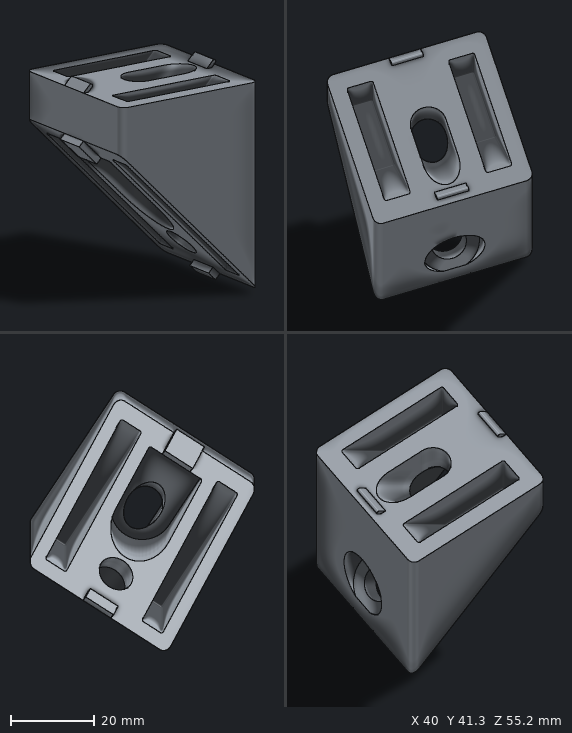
import cadquery as cq
import math


side = 40.0
front_height = 12.0
corner_radius = 2.0
back_height = front_height + side

tab_width = 7.95
finger_height = 1.95
finger_radius = 0.5
finger_root_front = (-3.85, -side)
slope_tab_height = 1.8
upper_tab_length = 7.3
lower_tab_length = 2.85

bolt_diameter = 8.7
bolt_radius = bolt_diameter / 2
recess_radius = 7.55
top_bolt_y = -21.0
top_plate = 10.0
top_recess_y = -20.05
top_recess_front = -34.9
top_recess_corner = 0.5
slope_bolt_y = -8.5
slope_plate = 5.0

pocket_fillet = 0.5
top_pocket_width = 6.5
top_pocket_x = 23.0
top_pocket_length = 30.3
top_pocket_depth = 12.55
top_pocket_backs = ((-0.55, -4.8), (0.55, -5.3))
slope_pocket_width = 5.85
slope_pocket_x = 25.0
slope_pocket_ceiling = -15.5
slope_pocket_back = -3.1

overshoot = 2.75
past_block = 2 * side
diagonal = math.sqrt(0.5)


def slope_z(y):
    """Height of the sloping face at depth y."""
    return -back_height - y


def side_prism(points, width, x_center=0.0):
    """Extrude a closed (Y, Z) outline symmetrically about x_center."""
    outline = cq.Workplane("YZ", origin=(x_center, 0, 0)).polyline(points).close()
    return outline.extrude(width / 2, both=True)


def slope_plane(y):
    """Plane on the sloping face at depth y, its normal pointing into the block."""
    return cq.Plane(origin=(0, y, slope_z(y)), xDir=(1, 0, 0), normal=(0, 1, 1))


def make_block():
    prism = side_prism([(0, 0), (-side, 0), (-side, -front_height), (0, -back_height)], side)
    return prism.edges("|Z").fillet(corner_radius)


def make_finger(root_front):
    """Tab on the top face leaning back at 45 degrees, with a fully rounded tip."""
    tip_z = finger_height - finger_radius
    tip_y = root_front + tip_z + finger_radius / diagonal
    offset = finger_radius * diagonal
    root_back = root_front + 2 * finger_radius / diagonal
    return (
        cq.Workplane("YZ")
        .moveTo(root_front, 0)
        .lineTo(tip_y - offset, tip_z + offset)
        .threePointArc((tip_y + offset, tip_z + offset), (tip_y + offset, tip_z - offset))
        .lineTo(root_back, 0)
        .close()
        .extrude(tab_width / 2, both=True)
    )


def make_slope_tab(front_y, back_y):
    """Rectangular tab standing square on the sloping face."""
    rise = slope_tab_height * diagonal
    return side_prism(
        [
            (front_y, slope_z(front_y)),
            (back_y, slope_z(back_y)),
            (back_y - rise, slope_z(back_y) - rise),
            (front_y - rise, slope_z(front_y) - rise),
        ],
        tab_width,
    )


def make_top_bolt_hole():
    """Hole that lets a bolt swing from upright to a 45 degree tilt to the back."""
    reach = top_plate + overshoot
    pivot = (0, top_bolt_y, -top_plate)
    upright = cq.Workplane("XY", origin=pivot).circle(bolt_radius).extrude(reach)
    tilted_plane = cq.Plane(origin=pivot, xDir=(1, 0, 0), normal=(0, 1, 1))
    tilted = cq.Workplane(tilted_plane).circle(bolt_radius).extrude(past_block, both=True)
    top_layer = cq.Workplane("XY", origin=pivot).rect(past_block, past_block).extrude(reach)
    tilted = tilted.intersect(top_layer)
    swing = side_prism(
        [
            (top_bolt_y, -top_plate),
            (top_bolt_y, overshoot),
            (top_bolt_y + reach, overshoot),
        ],
        bolt_diameter,
    )
    return upright.union(tilted).union(swing)


def make_top_recess():
    """U-shaped upright recess, open at the sloping face."""
    round_end = cq.Workplane("XY", origin=(0, top_recess_y, -top_plate)).circle(recess_radius)
    round_end = round_end.extrude(-back_height)
    length = top_recess_y - top_recess_front
    straight = (
        cq.Workplane("XY", origin=(0, top_recess_y - length / 2, -top_plate))
        .rect(2 * recess_radius, length)
        .extrude(-back_height)
        .edges("|Z and <Y")
        .fillet(top_recess_corner)
    )
    return round_end.union(straight)


def make_slope_bolt_hole():
    """Bolt hole square to the sloping face, with a head recess open to the back."""
    plane = slope_plane(slope_bolt_y)
    hole = cq.Workplane(plane).workplane(offset=-overshoot).circle(bolt_radius)
    hole = hole.extrude(past_block)
    recess = cq.Workplane(plane).workplane(offset=slope_plate).circle(recess_radius)
    recess = recess.extrude(past_block)
    return hole.union(recess)


def make_top_pocket(x, back_y):
    """Pocket in the top face with a flat floor and a 45 degree back end."""
    front_y = back_y - top_pocket_length
    return side_prism(
        [
            (back_y + overshoot, overshoot),
            (back_y - top_pocket_depth, -top_pocket_depth),
            (front_y, -top_pocket_depth),
            (front_y, overshoot),
        ],
        top_pocket_width,
        x,
    ).edges("not >Z").fillet(pocket_fillet)


def make_slope_pocket(x):
    """Wedge pocket in the sloping face with a level ceiling and an upright back."""
    open_y = -back_height - slope_pocket_ceiling - overshoot
    open_z = slope_z(slope_pocket_back) - overshoot
    wedge = side_prism(
        [
            (open_y, slope_pocket_ceiling),
            (slope_pocket_back, slope_pocket_ceiling),
            (slope_pocket_back, open_z),
        ],
        slope_pocket_width,
        x,
    )
    return wedge.faces(">Y or >Z").edges("not (<Y or <Z)").fillet(pocket_fillet)


result = make_block()
for root_front in finger_root_front:
    result = result.union(make_finger(root_front))
result = result.union(make_slope_tab(-side, -side + upper_tab_length * diagonal))
result = result.union(make_slope_tab(-lower_tab_length * diagonal, 0))

result = result.cut(make_top_bolt_hole()).cut(make_top_recess()).cut(make_slope_bolt_hole())
for direction, back_y in top_pocket_backs:
    result = result.cut(make_top_pocket(direction * top_pocket_x, back_y))
    result = result.cut(make_slope_pocket(direction * slope_pocket_x))